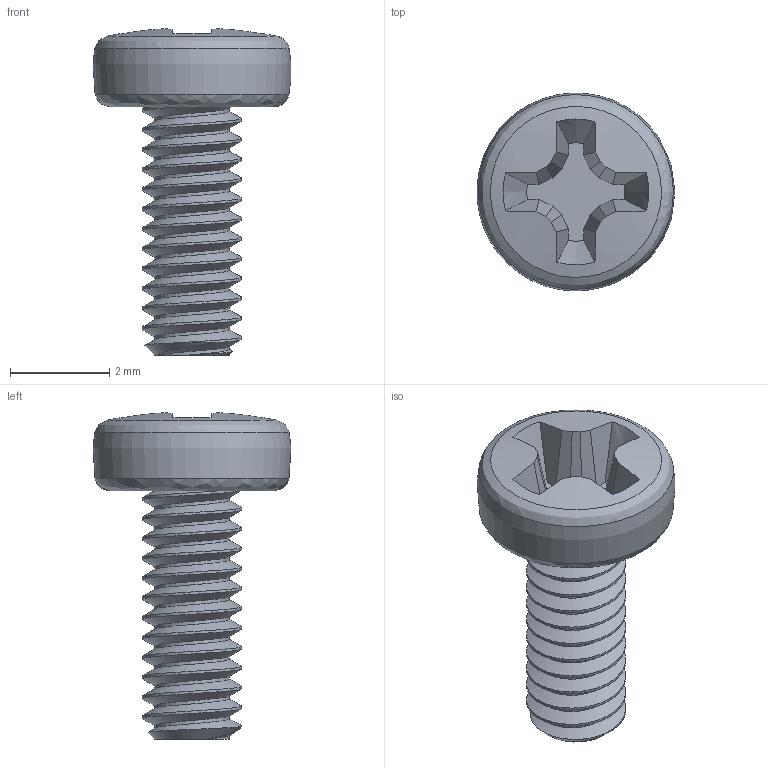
import math

import cadquery as cq


thread_diameter = 2.0
thread_pitch = 0.4
shank_length = 5.0
thread_depth_ratio = 0.613
flank_half_angle = math.radians(30)
groove_overcut = 0.02
first_groove_height = -0.06

thread_radius = thread_diameter / 2
thread_depth = thread_depth_ratio * thread_pitch
crest_flat = thread_pitch / 8
root_radius = thread_radius - thread_depth
tip_chamfer = thread_depth

head_diameter = 4.0
head_height = 1.61
dome_radius = 8.0
side_bulge_radius = 2.5
head_edge_fillet = 0.31
widest_height = 0.72

head_radius = head_diameter / 2

wing_count = 4
floor_height = 0.3
wing_rim_radius = 1.47
wing_floor_radius = 0.99
wing_half_width_floor = 0.155
wing_half_width_top = 0.42
corner_start_floor = 0.74
corner_start_top = 0.81
corner_inset_floor = (0.29, 0.46)
corner_inset_top = (0.51, 0.62)
recess_overcut = 0.05


def bulge_sag(height):
    """Inward offset of the bulged head side at a given height."""
    rise = height - widest_height
    return side_bulge_radius - math.sqrt(side_bulge_radius**2 - rise**2)


def dome_height(radius):
    """Height of the domed head top at a given distance from the axis."""
    return head_height - dome_radius + math.sqrt(dome_radius**2 - radius**2)


def make_head():
    """Domed head with a bulged side and both rims rounded."""
    bottom_radius = head_radius - bulge_sag(0)
    rim_radius = head_radius - bulge_sag(dome_height(head_radius))
    rim_height = dome_height(rim_radius)
    mid_radius = rim_radius / 2
    return (
        cq.Workplane("XZ")
        .lineTo(bottom_radius, 0)
        .threePointArc((head_radius, widest_height), (rim_radius, rim_height))
        .threePointArc((mid_radius, dome_height(mid_radius)), (0, head_height))
        .close()
        .revolve(360, (0, 0, 0), (0, 1, 0))
        .edges("%CIRCLE")
        .fillet(head_edge_fillet)
    )


def cross_outline(half_width, corner_start, inset, height):
    """Four-winged outline with a three-sided corner between neighbouring wings."""
    near, far = inset
    reach = head_radius
    quadrant = [
        (reach, half_width),
        (corner_start, half_width),
        (far, near),
        (near, far),
        (half_width, corner_start),
        (half_width, reach),
    ]
    points = []
    for _ in range(wing_count):
        points += quadrant
        quadrant = [(-y, x) for x, y in quadrant]
    corners = [cq.Vector(x, y, height) for x, y in points]
    return cq.Wire.makePolygon(corners, close=True)


def make_recess():
    """Tapered cross whose wing ends lie on a cone."""
    cutter_top = head_height + recess_overcut
    depth = cutter_top - floor_height
    floor = cross_outline(wing_half_width_floor, corner_start_floor, corner_inset_floor, floor_height)
    top = cross_outline(wing_half_width_top, corner_start_top, corner_inset_top, cutter_top)
    cross = cq.Workplane(cq.Solid.makeLoft([floor, top], True))
    wall_slope = (wing_rim_radius - wing_floor_radius) / (dome_height(wing_rim_radius) - floor_height)
    cone = cq.Solid.makeCone(
        wing_floor_radius,
        wing_floor_radius + wall_slope * depth,
        depth,
        cq.Vector(0, 0, floor_height),
    )
    return cross.intersect(cq.Workplane(cone))


def make_thread_groove():
    """Helical V groove running past both ends of the shank, one set of faces per turn."""
    flank_slope = math.tan(flank_half_angle)
    mouth_half = (thread_pitch - crest_flat) / 2 + groove_overcut * flank_slope
    root_half = mouth_half - (thread_depth + groove_overcut) * flank_slope
    mouth_radius = thread_radius + groove_overcut
    profile = [
        (root_radius, -root_half),
        (mouth_radius, -mouth_half),
        (mouth_radius, mouth_half),
        (root_radius, root_half),
    ]
    turns_below = math.ceil(shank_length / thread_pitch) + 1
    turns = turns_below + 2
    bottom = first_groove_height - turns_below * thread_pitch

    faces = []
    for turn in range(turns):
        turn_base = bottom + turn * thread_pitch
        helices = []
        for radius, offset in profile:
            base = cq.Vector(0, 0, turn_base + offset)
            helix = cq.Wire.makeHelix(thread_pitch, thread_pitch, radius, base)
            helices.append(helix.Edges()[0])
        for side, helix in enumerate(helices):
            faces.append(cq.Face.makeRuledSurface(helix, helices[side - 1]))
    for end_height in (bottom, bottom + turns * thread_pitch):
        corners = [cq.Vector(radius, 0, end_height + offset) for radius, offset in profile]
        faces.append(cq.Face.makeFromWires(cq.Wire.makePolygon(corners, close=True)))
    return cq.Workplane(cq.Solid.makeSolid(cq.Shell.makeShell(faces)))


def make_shank():
    """Threaded shank with a chamfered tip."""
    blank = (
        cq.Workplane("XY")
        .circle(thread_radius)
        .extrude(-shank_length)
        .faces("<Z")
        .chamfer(tip_chamfer)
    )
    return blank.cut(make_thread_groove())


head = make_head().cut(make_recess())
result = head.union(make_shank())